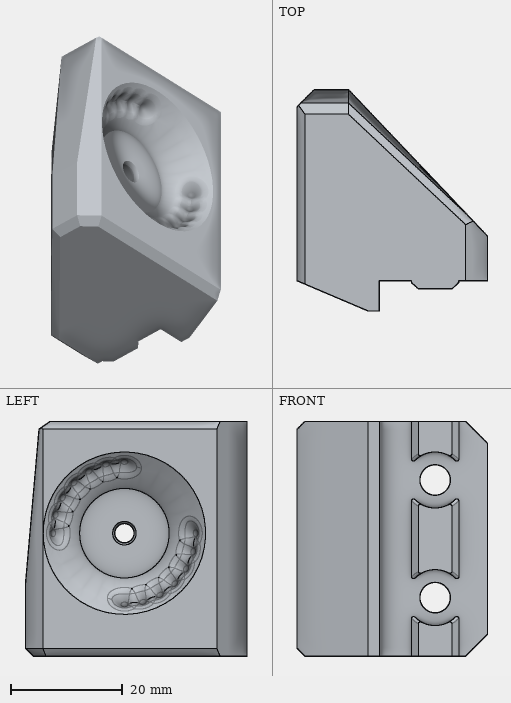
import cadquery as cq
import math

WIDTH = 34.02
HEIGHT = 41.95
BACK_Y = 34.17
TOP_Z = HEIGHT / 2
BOTTOM_Z = -TOP_Z
EDGE_CHAMFER = 1.4
END_CHAMFER = 3.9
CLEARANCE = 5.0

HOOK_DEPTH = 5.4
HOOK_TIP_X = 12.7
HOOK_INNER_X = 14.73

CORNER_BEVEL = 3.1
DIAGONAL_START_X = 9.18
DIAGONAL_END_Y = 8.0

LEAN_START_Z = BOTTOM_Z + 13.1
LEAN_ANGLE = 5.0
LEAN_DIRECTION = -43.3
BACK_CHAMFER_Y = 2.0

RAIL_X = 24.67
RAIL_BASE_WIDTH = 8.5
RAIL_TOP_WIDTH = 6.0
RAIL_DEPTH = 1.45
RAIL_WALL_DEPTH = 0.3
RAIL_GAP_DIAMETER = 10.0
RAIL_END_FILLET = 0.4
MOUNT_HOLE_DIAMETER = 5.4
MOUNT_HOLE_ZS = (-10.5, 10.5)

CUP_Y = 16.5
CUP_Z = 1.0
CUP_MOUTH_RADIUS = 14.5
CUP_FLOOR_RADIUS = 8.0
CUP_DEPTH = CUP_MOUTH_RADIUS - CUP_FLOOR_RADIUS
CUP_HOLE_DIAMETER = 3.4
COUNTERSINK_DIAMETER = 4.2
COUNTERSINK_DEPTH = 0.8

DIMPLE_RING_RADIUS = 11.8
DIMPLE_STEP = 15.0
DIMPLES_PER_RING = 7
DIMPLE_RING_STARTS = (0.0, 180.0)
DIMPLE_SLOPE = 37.0
DIMPLE_DEPTH = 1.5
DIMPLE_TIP_RADIUS = 1.0
DIMPLE_RIM_FILLET = 2.0
DIMPLE_OVERLAP = 0.5


def make_block():
    """Extruded outline; bottom edges and the top edge beside the cup are chamfered."""
    outline = [
        (0, 0),
        (HOOK_TIP_X, -HOOK_DEPTH),
        (HOOK_INNER_X, -HOOK_DEPTH),
        (HOOK_INNER_X, 0),
        (WIDTH, 0),
        (WIDTH, DIAGONAL_END_Y),
        (DIAGONAL_START_X, BACK_Y),
        (CORNER_BEVEL, BACK_Y),
        (0, BACK_Y - CORNER_BEVEL),
    ]
    block = cq.Workplane("XY").workplane(offset=BOTTOM_Z).polyline(outline).close().extrude(HEIGHT)

    diagonal_middle = ((DIAGONAL_START_X + WIDTH) / 2, (BACK_Y + DIAGONAL_END_Y) / 2)
    bevel_middle = (CORNER_BEVEL / 2, BACK_Y - CORNER_BEVEL / 2)
    back_middle = ((CORNER_BEVEL + DIAGONAL_START_X) / 2, BACK_Y)
    left_middle = (0, (BACK_Y - CORNER_BEVEL) / 2)
    bottom_edges = cq.Workplane()
    for x, y in (left_middle, bevel_middle, back_middle, diagonal_middle):
        nearest = cq.selectors.NearestToPointSelector((x, y, BOTTOM_Z))
        bottom_edges = bottom_edges.add(block.edges(nearest))
    block = block.newObject(bottom_edges.vals()).chamfer(EDGE_CHAMFER)
    return block.faces(">Z").edges("<X").chamfer(EDGE_CHAMFER)


def make_end_chamfer(side):
    """Corner wedge at the +X end, at the top (side = 1) or the bottom (side = -1)."""
    reach = END_CHAMFER + CLEARANCE
    wedge = [
        (WIDTH - END_CHAMFER - CLEARANCE, side * (TOP_Z + CLEARANCE)),
        (WIDTH + CLEARANCE, side * (TOP_Z - END_CHAMFER - CLEARANCE)),
        (WIDTH + reach, side * (TOP_Z + reach)),
    ]
    return cq.Workplane("XZ").polyline(wedge).close().extrude(BACK_Y, both=True)


def make_lean_cut():
    """Prisms removed to lean the upper back: behind the straight part and behind the diagonal."""
    chamfer_z = TOP_Z - EDGE_CHAMFER
    lean_y = BACK_Y - (chamfer_z - LEAN_START_Z) * math.tan(math.radians(LEAN_ANGLE))
    far_y = BACK_Y + WIDTH
    profile = [
        (BACK_Y, LEAN_START_Z),
        (lean_y, chamfer_z),
        (lean_y - BACK_CHAMFER_Y, TOP_Z),
        (lean_y - BACK_CHAMFER_Y, TOP_Z + CLEARANCE),
        (far_y, TOP_Z + CLEARANCE),
        (far_y, LEAN_START_Z),
    ]
    points = [cq.Vector(DIAGONAL_START_X, y, z) for y, z in profile]
    face = cq.Face.makeFromWires(cq.Wire.makePolygon(points, close=True))
    slope = math.tan(math.radians(LEAN_DIRECTION))
    behind_back = cq.Solid.extrudeLinear(face, cq.Vector(-DIAGONAL_START_X - CLEARANCE, 0, 0))
    behind_diagonal = cq.Solid.extrudeLinear(face, cq.Vector(WIDTH, WIDTH * slope, 0))
    return [behind_back, behind_diagonal]


def make_rail():
    """Tapered rail, interrupted by a round gap at each mounting hole."""
    section = [
        (RAIL_X - RAIL_BASE_WIDTH / 2, 0),
        (RAIL_X - RAIL_BASE_WIDTH / 2, -RAIL_WALL_DEPTH),
        (RAIL_X - RAIL_TOP_WIDTH / 2, -RAIL_DEPTH),
        (RAIL_X + RAIL_TOP_WIDTH / 2, -RAIL_DEPTH),
        (RAIL_X + RAIL_BASE_WIDTH / 2, -RAIL_WALL_DEPTH),
        (RAIL_X + RAIL_BASE_WIDTH / 2, 0),
    ]
    rail = cq.Workplane("XY").workplane(offset=BOTTOM_Z).polyline(section).close().extrude(HEIGHT)
    rail = rail.cut(make_mount_cylinders(RAIL_GAP_DIAMETER))

    gap_radius = RAIL_GAP_DIAMETER / 2
    wall_x = RAIL_BASE_WIDTH / 2
    flank_x = (RAIL_BASE_WIDTH + RAIL_TOP_WIDTH) / 4
    corner_spots = [
        (wall_x, -RAIL_WALL_DEPTH / 2),
        (flank_x, -(RAIL_DEPTH + RAIL_WALL_DEPTH) / 2),
    ]
    corners = cq.Workplane()
    for offset_x, y in corner_spots:
        offset_z = math.sqrt(gap_radius ** 2 - offset_x ** 2)
        for hole_z in MOUNT_HOLE_ZS:
            for side_x in (-1, 1):
                for side_z in (-1, 1):
                    spot = (RAIL_X + side_x * offset_x, y, hole_z + side_z * offset_z)
                    corners = corners.add(rail.edges(cq.selectors.NearestToPointSelector(spot)))
    return rail.newObject(corners.vals()).fillet(RAIL_END_FILLET)


def make_mount_cylinders(diameter):
    """Cylinders along Y through the whole block at both mounting positions."""
    centers = [(RAIL_X, z) for z in MOUNT_HOLE_ZS]
    return cq.Workplane("XZ").pushPoints(centers).circle(diameter / 2).extrude(BACK_Y, both=True)


def make_cup():
    """Cup cone, its countersink and its through hole, with the axis on the X axis."""
    hole_radius = CUP_HOLE_DIAMETER / 2
    profile = [
        (-CLEARANCE, 0),
        (-CLEARANCE, CUP_MOUTH_RADIUS),
        (0, CUP_MOUTH_RADIUS),
        (CUP_DEPTH, CUP_FLOOR_RADIUS),
        (CUP_DEPTH, COUNTERSINK_DIAMETER / 2),
        (CUP_DEPTH + COUNTERSINK_DEPTH, hole_radius),
        (WIDTH + CLEARANCE, hole_radius),
        (WIDTH + CLEARANCE, 0),
    ]
    return cq.Workplane("XY").polyline(profile).close().revolve(360, (0, 0, 0), (1, 0, 0))


def make_dimple_ring():
    """Cup cone joined to a quarter ring of round-tipped dimples, with rims and ridges filleted."""
    cone = cq.Workplane("XY").polyline([
        (0, 0),
        (0, -CUP_MOUTH_RADIUS),
        (CUP_DEPTH, -CUP_FLOOR_RADIUS),
        (CUP_DEPTH, 0),
    ]).close().revolve(360, (0, 0, 0), (1, 0, 0))

    slope = math.radians(DIMPLE_SLOPE)
    tip_center = DIMPLE_DEPTH - DIMPLE_TIP_RADIUS
    tangent_radius = DIMPLE_TIP_RADIUS * math.sin(slope)
    tangent_depth = tip_center + DIMPLE_TIP_RADIUS * math.cos(slope)
    arc_radius = DIMPLE_TIP_RADIUS * math.sin(slope / 2)
    arc_depth = tip_center + DIMPLE_TIP_RADIUS * math.cos(slope / 2)
    inner_depth = -DIMPLE_OVERLAP
    inner_radius = tangent_radius + (tangent_depth - inner_depth) / math.tan(slope)
    wall_point = (CUP_MOUTH_RADIUS - DIMPLE_RING_RADIUS, DIMPLE_RING_RADIUS, 0)
    wall_plane = cq.Plane(origin=wall_point, xDir=(0, 0, 1), normal=(-1, 1, 0))
    dimple = (
        cq.Workplane(wall_plane)
        .moveTo(0, inner_depth)
        .lineTo(inner_radius, inner_depth)
        .lineTo(tangent_radius, tangent_depth)
        .threePointArc((arc_radius, arc_depth), (0, DIMPLE_DEPTH))
        .close()
        .revolve(360, (0, 0, 0), (0, 1, 0))
    )
    ring = cone
    for index in range(DIMPLES_PER_RING):
        ring = ring.union(dimple.rotate((0, 0, 0), (1, 0, 0), index * DIMPLE_STEP))
    return ring.clean().edges("not(%CIRCLE or %LINE)").fillet(DIMPLE_RIM_FILLET)


result = make_block()
for side in (-1, 1):
    result = result.cut(make_end_chamfer(side))
for prism in make_lean_cut():
    result = result.cut(cq.Workplane(prism))
result = result.union(make_rail())
result = result.cut(make_mount_cylinders(MOUNT_HOLE_DIAMETER))

cup_position = (0, CUP_Y, CUP_Z)
result = result.cut(make_cup().translate(cup_position))
dimple_ring = make_dimple_ring()
for start in DIMPLE_RING_STARTS:
    turned_ring = dimple_ring.rotate((0, 0, 0), (1, 0, 0), start)
    result = result.cut(turned_ring.translate(cup_position))